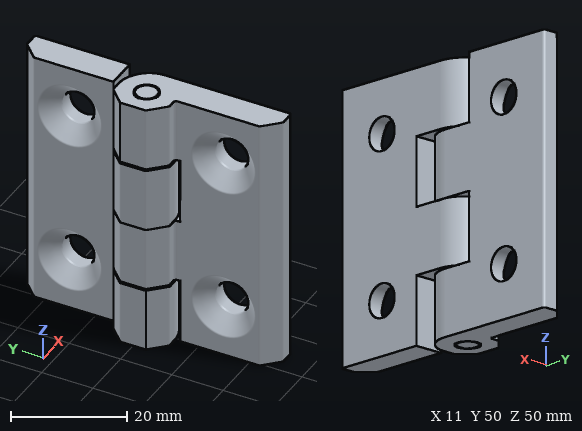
import cadquery as cq

HEIGHT = 50.0
SPAN = 50.0
PLATE_THICKNESS = 6.0
BACK_X = 5.5
PLATE_FRONT_X = BACK_X - PLATE_THICKNESS
AXIS_X = PLATE_FRONT_X
EDGE_CHAMFER = 3.0
EDGE_ROUND = 0.5

KNUCKLE_FRONT_X = -BACK_X
KNUCKLE_HALF_WIDTH = 5.5
KNUCKLE_BACK_ROUND = 6.0
KNUCKLE_COUNT = 4
KNUCKLE_PITCH = HEIGHT / KNUCKLE_COUNT
KNUCKLE_GAP = 0.35
NOTCH_EDGE = 6.5

PIN_RADIUS = 2.25
PIN_CHAMFER = 0.2

HOLE_OFFSET_Y = 15.0
HOLE_OFFSET_Z = 15.0
HOLE_RADIUS = 3.1
SINK_RADIUS = 6.15
SINK_DEPTH = SINK_RADIUS - HOLE_RADIUS
SINK_ROUND = 0.5


def leaf_blank():
    """Full-height leaf extending to -Y, with its knuckle profile running from bottom to top."""
    outer_y = -SPAN / 2
    half = KNUCKLE_HALF_WIDTH
    bevel_x = KNUCKLE_FRONT_X + EDGE_CHAMFER
    bevel_y = half - EDGE_CHAMFER
    back_corner = (BACK_X, half)
    free_front_corner = (KNUCKLE_FRONT_X, bevel_y)
    rounded_corners = [
        (bevel_x, half),
        (KNUCKLE_FRONT_X, -bevel_y),
        (bevel_x, -half),
        (PLATE_FRONT_X, -half),
        (PLATE_FRONT_X, outer_y + EDGE_CHAMFER),
        (PLATE_FRONT_X + EDGE_CHAMFER, outer_y),
        (BACK_X, outer_y),
    ]
    outline = [back_corner, rounded_corners[0], free_front_corner, *rounded_corners[1:]]
    blank = cq.Workplane("XY").polyline(outline).close().extrude(HEIGHT)
    blank = round_upright_edge(blank, back_corner, HEIGHT / 2, KNUCKLE_BACK_ROUND)
    for corner in rounded_corners:
        blank = round_upright_edge(blank, corner, HEIGHT / 2, EDGE_ROUND)
    return blank


def round_upright_edge(body, corner, z, radius):
    """Round the Z-parallel edge of body that passes closest to the given corner at height z."""
    nearest = cq.selectors.NearestToPointSelector((*corner, z))
    return body.edges("|Z").edges(nearest).fillet(radius)


def notch(bottom, top):
    """Space that clears the knuckle of the other leaf."""
    x_size = BACK_X - KNUCKLE_FRONT_X
    y_size = NOTCH_EDGE + KNUCKLE_HALF_WIDTH
    corner = (KNUCKLE_FRONT_X, -NOTCH_EDGE, bottom)
    return cq.Workplane("XY").box(x_size, y_size, top - bottom, centered=False).translate(corner)


def screw_hole(y, z):
    """Through hole with a 90 degree countersink in the plate's front face."""
    profile = [
        (0, 0),
        (SINK_RADIUS, 0),
        (HOLE_RADIUS, SINK_DEPTH),
        (HOLE_RADIUS, PLATE_THICKNESS),
        (0, PLATE_THICKNESS),
    ]
    cutter = cq.Workplane("XY").polyline(profile).close().revolve(360, (0, 0), (0, 1))
    return cutter.rotate((0, 0, 0), (0, 0, 1), -90).translate((PLATE_FRONT_X, y, z))


def make_leaf():
    """Leaf on the -Y side, carrying the first and third knuckles counted from the top."""
    half_gap = KNUCKLE_GAP / 2
    leaf = leaf_blank()
    leaf = leaf.cut(notch(2 * KNUCKLE_PITCH, 3 * KNUCKLE_PITCH + half_gap))
    leaf = leaf.cut(notch(0, KNUCKLE_PITCH + half_gap))

    free_front_corner = (KNUCKLE_FRONT_X, KNUCKLE_HALF_WIDTH - EDGE_CHAMFER)
    leaf = round_upright_edge(leaf, free_front_corner, 1.5 * KNUCKLE_PITCH, EDGE_ROUND)

    for side in (-1, 1):
        leaf = leaf.cut(screw_hole(-HOLE_OFFSET_Y, HEIGHT / 2 + side * HOLE_OFFSET_Z))
    leaf = leaf.faces("%CONE").edges("%CIRCLE").fillet(SINK_ROUND)
    return leaf.cut(pin_rod())


def pin_rod():
    """Plain cylinder along the pin axis, which is also the shape of the bore."""
    return cq.Workplane("XY").center(AXIS_X, 0).circle(PIN_RADIUS).extrude(HEIGHT)


def make_pin():
    """Pin through all knuckles, flush with both ends, with chamfered end edges."""
    return pin_rod().faces("<Z or >Z").edges().chamfer(PIN_CHAMFER)


leaf = make_leaf()
opposite_leaf = leaf.rotate((0, 0, HEIGHT / 2), (1, 0, HEIGHT / 2), 180)
pin = make_pin()

result = cq.Compound.makeCompound([leaf.val(), opposite_leaf.val(), pin.val()])